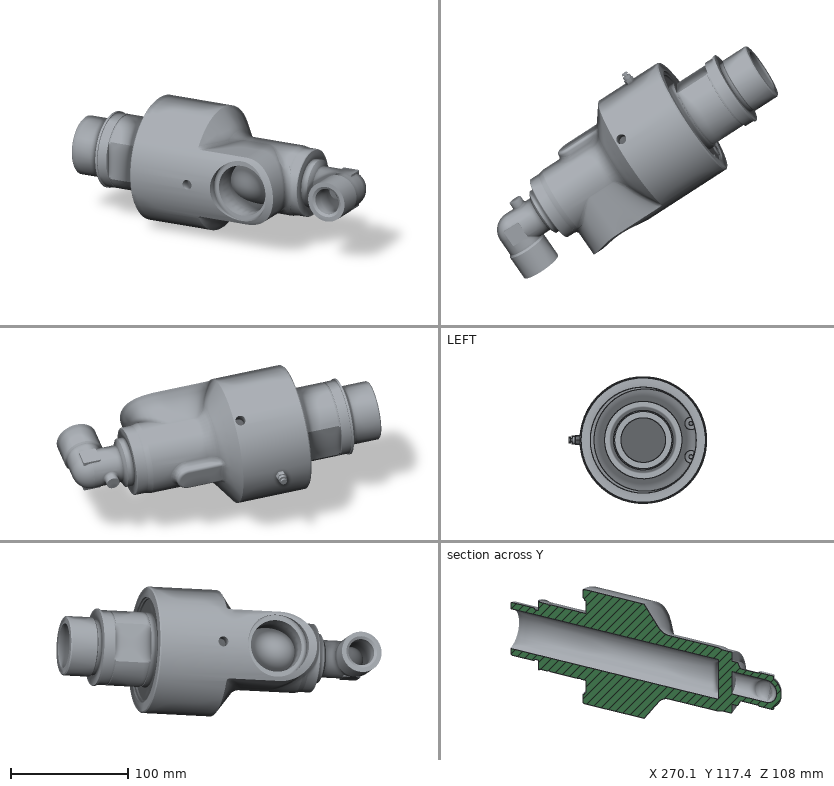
import cadquery as cq
import math

thread_end_x = 24.0
flange_x = 27.0
collar_x = 28.8
wrench_x = 37.2
seal_x = 69.0
body_x = 71.0
shoulder_x = 132.0
rear_x = 156.4
rear_end_x = 204.8
cap_x = 209.4
cap_end_x = 219.0
hub_taper_x = 224.6
elbow_pipe_x = 227.3

thread_r = 50.8 / 2
undercut_r = 24.0
flange_r = 33.0
shaft_r = 64.0 / 2
body_r = 108.0 / 2
rear_r = 30.4
cap_r = 29.3
hub_r = 21.0
chamfer = 1.0

margin = 1.0

blend_r = 12.7
cone_angle = math.radians(51.4)
blend_start_x = rear_x - blend_r * math.sin(cone_angle)
blend_start_r = rear_r + blend_r * (1 - math.cos(cone_angle))
blend_mid_x = rear_x - blend_r * math.sin(cone_angle / 2)
blend_mid_r = rear_r + blend_r * (1 - math.cos(cone_angle / 2))

flat_across = 54.7
groove_width = 1.4
groove_depth = 0.6

recess_r = 45.2
ring_inner_r = 43.6
ring_thickness = 1.5
ring_face_depth = 1.5
recess_depth = ring_face_depth + ring_thickness
lug_r = 5.3
lug_y = -40.7
lug_z = 14.2
lug_hole_d = 3.5

neck_half_width = 30.1
neck_end_x = 179.0
port_x = 175.2
port_seat_d = 53.7
port_bore_d = 43.26
port_rim_d = 44.7
port_seat_y = -45.8
port_taper_end_y = -28.5
neck_cone_blend_r = 3.6
neck_end_blend_r = 3.0
flare_cap_x = 212.0
flare_reach = 35.5

bore_d = 38.1
bore_end_x = 205.0
core_d = 50.75

pad_half_width = 10.5
pad_end_x = 175.0
pad_y = 37.3
pad_edge_r = 2.5
pad_blend_r = 4.0

radial_hole_d = 8.6
radial_hole_x = 126.4
radial_hole_depth = 10.0
radial_hole_count = 3

nipple_x = 98.8
nipple_hex_d = 8.6
nipple_sections = [
    (5.36, 58.3),
    (7.0, 60.6),
    (3.12, 62.2),
    (5.36, 63.41),
]
nipple_hex_y = 57.6

socket_d = 35.0
overall_length = 270.08
elbow_x = overall_length - socket_d / 2
elbow_d = 32.0
elbow_bore_d = 22.63
elbow_rim_d = 27.05
elbow_rim_depth = 1.5
socket_taper_y = -15.3
socket_y = -17.0
socket_end_y = -39.0
elbow_pad_size = 15.0
elbow_pad_corner_r = 1.0
stub_x = 238.4
stub_d = 11.2
stub_y = 22.4
stub_blend_r = 1.5


def cylinder_x(diameter, x_start, x_end, y=0, z=0):
    plane = cq.Plane(origin=(x_start, y, z), xDir=(0, 1, 0), normal=(1, 0, 0))
    return cq.Workplane(plane).circle(diameter / 2).extrude(x_end - x_start)


def cylinder_y(diameter, x, y_start, y_end):
    plane = cq.Plane(origin=(x, y_start, 0), xDir=(1, 0, 0), normal=(0, 1, 0))
    return cq.Workplane(plane).circle(diameter / 2).extrude(y_end - y_start)


def cone_y(x, y_start, d_start, y_end, d_end):
    """Solid of revolution about the line through x parallel to Y."""
    profile = (
        cq.Workplane("XY")
        .moveTo(x, y_start)
        .lineTo(x + d_start / 2, y_start)
        .lineTo(x + d_end / 2, y_end)
        .lineTo(x, y_end)
        .close()
    )
    return profile.revolve(360, (x, 0, 0), (x, 1, 0))


def make_shaft():
    """Threaded end, flange, wrench section and seal collar."""
    profile = (
        cq.Workplane("XY")
        .moveTo(0, 0)
        .lineTo(0, thread_r - chamfer)
        .lineTo(chamfer, thread_r)
        .lineTo(thread_end_x - chamfer, thread_r)
        .lineTo(thread_end_x, undercut_r)
        .lineTo(flange_x, undercut_r)
        .lineTo(flange_x, flange_r)
        .lineTo(collar_x, flange_r)
        .lineTo(collar_x, shaft_r)
        .lineTo(body_x + recess_depth, shaft_r)
        .lineTo(body_x + recess_depth, 0)
        .close()
    )
    shaft = profile.revolve(360, (0, 0, 0), (1, 0, 0))
    for groove_x in (wrench_x, seal_x - groove_width):
        groove_end_x = groove_x + groove_width
        groove = cylinder_x(2 * flange_r, groove_x, groove_end_x)
        groove = groove.cut(cylinder_x(2 * (shaft_r - groove_depth), groove_x, groove_end_x))
        shaft = shaft.cut(groove)
    wrench_length = seal_x - wrench_x
    side_depth = shaft_r
    for side in (1, -1):
        side_y = side * (flat_across + side_depth) / 2
        side_block = cq.Workplane("XY").box(wrench_length, side_depth, 2 * flange_r)
        shaft = shaft.cut(side_block.translate((wrench_x + wrench_length / 2, side_y, 0)))
    return shaft


def make_body():
    """Main drum, shoulder cone, rear body, end cap and hub."""
    profile = (
        cq.Workplane("XY")
        .moveTo(body_x, 0)
        .lineTo(body_x, body_r - chamfer)
        .lineTo(body_x + chamfer, body_r)
        .lineTo(shoulder_x, body_r)
        .lineTo(blend_start_x, blend_start_r)
        .threePointArc((blend_mid_x, blend_mid_r), (rear_x, rear_r))
        .lineTo(rear_end_x, rear_r)
        .lineTo(cap_x, cap_r)
        .lineTo(cap_end_x - chamfer / 2, cap_r)
        .lineTo(cap_end_x, cap_r - chamfer / 2)
        .lineTo(cap_end_x, hub_r)
        .lineTo(hub_taper_x, hub_r)
        .lineTo(elbow_pipe_x, elbow_d / 2)
        .lineTo(elbow_pipe_x, 0)
        .close()
    )
    return profile.revolve(360, (0, 0, 0), (1, 0, 0))


def make_port_neck():
    """Round-ended neck whose outer face continues the drum's cylinder."""
    neck = (
        cq.Workplane("XZ")
        .moveTo(body_x + chamfer, neck_half_width)
        .lineTo(neck_end_x, neck_half_width)
        .threePointArc((neck_end_x + neck_half_width, 0), (neck_end_x, -neck_half_width))
        .lineTo(body_x + chamfer, -neck_half_width)
        .close()
        .extrude(body_r)
    )
    drum = cylinder_x(2 * body_r, body_x, neck_end_x + 2 * neck_half_width)
    return neck.intersect(drum)


def make_neck_flare():
    """Neck filleted onto a plain core that follows the rear body just below its surface."""
    core = (
        cq.Workplane("XY")
        .moveTo(rear_x, 0)
        .lineTo(rear_x, neck_half_width)
        .lineTo(rear_end_x, neck_half_width)
        .lineTo(flare_cap_x, cap_r)
        .lineTo(cap_end_x - chamfer, cap_r)
        .lineTo(cap_end_x - chamfer, 0)
        .close()
        .revolve(360, (0, 0, 0), (1, 0, 0))
    )
    flare = core.union(make_port_neck())
    end_region = cq.selectors.BoxSelector(
        (neck_end_x - margin, -rear_r, -rear_r), (cap_end_x, margin, rear_r), boundingbox=True
    )
    rim = flare.edges(end_region).edges("not %CIRCLE").edges("not |Y")
    flare = rim.fillet(neck_end_blend_r)
    return flare.intersect(cylinder_y(2 * flare_reach, neck_end_x, -body_r, 0))


def blend_neck_to_cone(body):
    """Fillet the corner where the neck flats meet the shoulder cone."""
    corner_region = cq.selectors.BoxSelector(
        (shoulder_x - margin, -body_r, -rear_r), (rear_x + margin, -margin, rear_r), boundingbox=True
    )
    flat_edges = body.edges(corner_region)
    return flat_edges.fillet(neck_cone_blend_r)


def blend_pad(body):
    """Fillet the foot of the pad onto the rear body."""
    foot_region = cq.selectors.BoxSelector(
        (blend_start_x - margin, 0, -pad_half_width - margin),
        (pad_end_x + pad_half_width + margin, pad_y - pad_edge_r - margin, pad_half_width + margin),
        boundingbox=True,
    )
    return body.edges(foot_region).edges("not |Y").fillet(pad_blend_r)


def make_pad():
    """Round-ended raised pad on the +Y side of the rear body."""
    pad = (
        cq.Workplane("XZ")
        .moveTo(shoulder_x, pad_half_width)
        .lineTo(pad_end_x, pad_half_width)
        .threePointArc((pad_end_x + pad_half_width, 0), (pad_end_x, -pad_half_width))
        .lineTo(shoulder_x, -pad_half_width)
        .close()
        .extrude(-pad_y)
    )
    return pad.faces(">Y").edges().edges("not <X").fillet(pad_edge_r)


def make_retaining_ring():
    """Eccentric ring with two eyelet lugs, seated on the recess floor."""
    ring_start = body_x + ring_face_depth
    ring_end = ring_start + ring_thickness
    disc = cylinder_x(2 * recess_r, ring_start, ring_end)
    ring = disc.cut(cylinder_x(2 * ring_inner_r, ring_start, ring_end, y=ring_inner_r - recess_r))
    for z in (lug_z, -lug_z):
        lug = cylinder_x(2 * lug_r, ring_start, ring_end, lug_y, z).intersect(disc)
        ring = ring.union(lug)
    for z in (lug_z, -lug_z):
        ring = ring.cut(cylinder_x(lug_hole_d, ring_start, ring_end, lug_y, z))
    return ring


def cut_port(body):
    body = body.cut(cylinder_y(port_seat_d, port_x, -body_r, port_seat_y))
    port = cone_y(port_x, port_seat_y, port_rim_d, port_taper_end_y, port_bore_d)
    port = port.union(cylinder_y(port_bore_d, port_x, port_taper_end_y, 0))
    core = cylinder_x(core_d, body_x, cap_x)
    return body.cut(port.cut(core))


def cut_radial_holes(body):
    hole = cylinder_y(radial_hole_d, radial_hole_x, -body_r, radial_hole_depth - body_r)
    for index in range(radial_hole_count):
        angle = index * 360 / radial_hole_count
        body = body.cut(hole.rotate((0, 0, 0), (1, 0, 0), angle))
    return body


def make_nipple():
    """Grease nipple standing on the drum, hexagon first."""
    root_y = body_r - chamfer
    plane = cq.Plane(origin=(nipple_x, root_y, 0), xDir=(1, 0, 0), normal=(0, 1, 0))
    nipple = cq.Workplane(plane).polygon(6, nipple_hex_d).extrude(nipple_hex_y - root_y)
    start_y = nipple_hex_y
    for diameter, end_y in nipple_sections:
        nipple = nipple.union(cylinder_y(diameter, nipple_x, start_y, end_y))
        start_y = end_y
    return nipple


def make_elbow():
    """Right-angle pipe with ball corner, flat pads, stub and socket."""
    pipe = cylinder_x(elbow_d, elbow_pipe_x, elbow_x)
    stub = cylinder_y(stub_d, stub_x, 0, stub_y)
    elbow = pipe.union(stub)
    stub_foot = cq.selectors.BoxSelector(
        (stub_x - stub_d, margin, -stub_d), (stub_x + stub_d, stub_y - margin, stub_d)
    )
    elbow = elbow.edges(stub_foot).edges("not |Y").fillet(stub_blend_r)
    ball = cq.Workplane("XY").sphere(elbow_d / 2).translate((elbow_x, 0, 0))
    elbow = elbow.union(ball)
    elbow = elbow.union(cylinder_y(elbow_d, elbow_x, socket_taper_y, 0))
    pads = cq.Workplane("XY").box(elbow_pad_size, elbow_pad_size, elbow_d)
    pads = pads.edges("|Z").fillet(elbow_pad_corner_r)
    elbow = elbow.union(pads.translate((elbow_x, 0, 0)))
    elbow = elbow.union(cone_y(elbow_x, socket_y, socket_d, socket_taper_y, elbow_d))
    return elbow.union(cylinder_y(socket_d, elbow_x, socket_end_y, socket_y))


def cut_elbow_bore(part):
    part = part.cut(cylinder_x(elbow_bore_d, cap_end_x, elbow_x))
    part = part.cut(cq.Workplane("XY").sphere(elbow_bore_d / 2).translate((elbow_x, 0, 0)))
    part = part.cut(cylinder_y(elbow_bore_d, elbow_x, socket_end_y, 0))
    rim_end_y = socket_end_y + elbow_rim_depth
    return part.cut(cone_y(elbow_x, socket_end_y, elbow_rim_d, rim_end_y, elbow_bore_d))


body = blend_neck_to_cone(make_body().union(make_port_neck()))
body = blend_pad(body.union(make_pad()))
body = body.union(make_neck_flare())
body = cut_radial_holes(cut_port(body))
body = body.cut(cylinder_x(2 * recess_r, body_x, body_x + recess_depth))

result = body.union(make_retaining_ring()).union(make_shaft()).union(make_nipple())
result = result.cut(cylinder_x(bore_d, 0, bore_end_x))
result = cut_elbow_bore(result.union(make_elbow()))